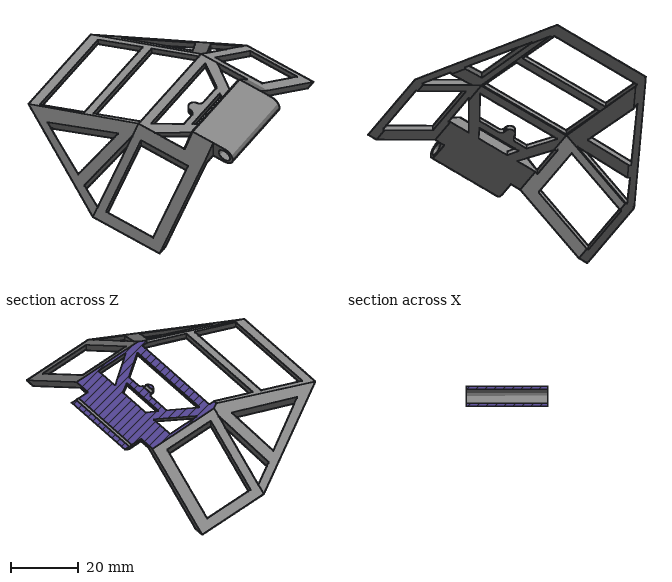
import cadquery as cq

length = 71.0
width = 79.0
height = 24.0
ridge_x = 40.0
back_x = 64.0
roof_z = 20.0
roof_half_width = 16.0
nose_left_y = 16.5
nose_right_y = -15.5
panel_thickness = 2.0

bar = 3.0
nose_bar = 3.8
cross_bar_start_x = 19.8
cross_bar_end_x = 23.0
front_window_half_width = 14.9
side_window_end_x = 59.9
side_window_inner_y = 19.0
side_window_outer_y = 37.0
lower_triangle = [(9.3, side_window_inner_y), (28.1, 30.0), (34.8, side_window_inner_y)]
upper_triangle = [(32.0, 32.4), (ridge_x, side_window_outer_y), (ridge_x, side_window_inner_y)]

block_x = 56.2
hinge_width = 24.0
block_chamfer = 0.5
hole_diameter = 4.0
hinge_bottom_z = roof_z - panel_thickness
barrel_radius = (height - hinge_bottom_z) / 2
barrel_x = length - barrel_radius
barrel_z = height - barrel_radius

roof_window_x = ridge_x + bar
truss_bar_x = 50.95
truss_bar_end_x = 53.0
roof_window_half_width = 13.9
truss_bar_half_width = 8.45
inner_window_half_width = 7.0
inner_window_back_half_width = 5.1
corner_window_x = 45.8
corner_window_half_width = 8.8

lug_x = 49.6
lug_y = -1.4
lug_radius = 1.65
lug_fillet = truss_bar_x - lug_x
pin_hole_diameter = 1.0

oversize = 237.0


def slab(corner, along, across, depth):
    """Large slab on the plane of three points; positive depth lies outside the body."""
    a = cq.Vector(*corner)
    first = cq.Vector(*along) - a
    normal = first.cross(cq.Vector(*across) - a)
    plane = cq.Plane(origin=a, xDir=first, normal=normal)
    return cq.Workplane(plane).rect(oversize, oversize).extrude(depth)


def vertical_prism(points):
    return cq.Workplane("XY").polyline(points).close().extrude(height)


def x_window(start_x, end_x, low_y, high_y):
    return vertical_prism([(start_x, low_y), (end_x, low_y), (end_x, high_y), (start_x, high_y)])


def mirrored(points):
    return [(x, -y) for x, y in points]


nose_left = (0, nose_left_y, 0)
nose_right = (0, nose_right_y, 0)
ridge_left = (ridge_x, roof_half_width, roof_z)
ridge_right = (ridge_x, -roof_half_width, roof_z)
foot_left = (ridge_x, width / 2, 0)
foot_right = (ridge_x, -width / 2, 0)
back_left = (back_x, roof_half_width, roof_z)
back_right = (back_x, -roof_half_width, roof_z)
panels = [
    (nose_left, nose_right, ridge_right),
    (nose_left, ridge_left, foot_left),
    (nose_right, foot_right, ridge_right),
    (foot_left, ridge_left, back_left),
    (foot_right, back_right, ridge_right),
    (ridge_left, ridge_right, back_right),
]


def make_shell():
    """Faceted canopy, open at the back and underneath."""
    outer = cq.Workplane("XY").box(back_x, width, roof_z, centered=(False, True, False))
    for panel in panels:
        outer = outer.cut(slab(*panel, oversize))
    core = outer
    for panel in panels:
        core = core.cut(slab(*panel, -panel_thickness))
    return outer.cut(core)


def cut_panel_windows(body):
    half = front_window_half_width
    body = body.cut(x_window(nose_bar, cross_bar_start_x, -half, half))
    body = body.cut(x_window(cross_bar_end_x, ridge_x, -half, half))
    side_window = [
        (roof_window_x, side_window_inner_y),
        (side_window_end_x, side_window_inner_y),
        (side_window_end_x, side_window_outer_y),
        (roof_window_x, side_window_outer_y),
    ]
    for outline in (lower_triangle, upper_triangle, side_window):
        body = body.cut(vertical_prism(outline))
        body = body.cut(vertical_prism(mirrored(outline)))
    return body


def make_lug():
    """Round-ended lug with concave fillets where it meets the truss bar."""
    root = lug_radius + lug_fillet
    profile = (
        cq.Workplane("XY", origin=(0, lug_y, hinge_bottom_z))
        .moveTo(truss_bar_x, -root)
        .radiusArc((lug_x, -lug_radius), -lug_fillet)
        .threePointArc((lug_x - lug_radius, 0), (lug_x, lug_radius))
        .radiusArc((truss_bar_x, root), -lug_fillet)
        .close()
    )
    pin_hole = (
        cq.Workplane("XZ", origin=(lug_x, lug_y, roof_z - panel_thickness / 2))
        .circle(pin_hole_diameter / 2)
        .extrude(root, both=True)
    )
    return profile.extrude(panel_thickness).cut(pin_hole)


def cut_roof_windows(body):
    front_window = [
        (roof_window_x, -roof_window_half_width),
        (truss_bar_x, -truss_bar_half_width),
        (truss_bar_x, truss_bar_half_width),
        (roof_window_x, roof_window_half_width),
    ]
    rear_window = [
        (truss_bar_end_x, -inner_window_half_width),
        (block_x, -inner_window_back_half_width),
        (block_x, inner_window_back_half_width),
        (truss_bar_end_x, inner_window_half_width),
    ]
    corner_window = [
        (corner_window_x, roof_half_width),
        (block_x, corner_window_half_width),
        (block_x, roof_half_width),
    ]
    for outline in (front_window, rear_window, corner_window, mirrored(corner_window)):
        body = body.cut(vertical_prism(outline))
    return body


def make_hinge():
    """Tapered block on the roof carrying a full-width barrel."""
    block = (
        cq.Workplane("YZ", origin=(block_x, 0, 0))
        .polyline([
            (-roof_half_width, roof_z),
            (roof_half_width, roof_z),
            (hinge_width / 2, height),
            (-hinge_width / 2, height),
        ])
        .close()
        .extrude(back_x - block_x)
        .faces("<X").edges("not(<Z)").chamfer(block_chamfer)
    )
    arm = cq.Workplane("XY", origin=(back_x, 0, hinge_bottom_z)).box(
        barrel_x - back_x, hinge_width, height - hinge_bottom_z, centered=(False, True, False)
    )
    axis = cq.Workplane("XZ", origin=(barrel_x, 0, barrel_z))
    barrel = axis.circle(barrel_radius).extrude(hinge_width / 2, both=True)
    hole = axis.circle(hole_diameter / 2).extrude(hinge_width / 2, both=True)
    return block.union(arm).union(barrel).cut(hole)


frame = cut_roof_windows(cut_panel_windows(make_shell()))
result = frame.union(make_lug()).union(make_hinge())